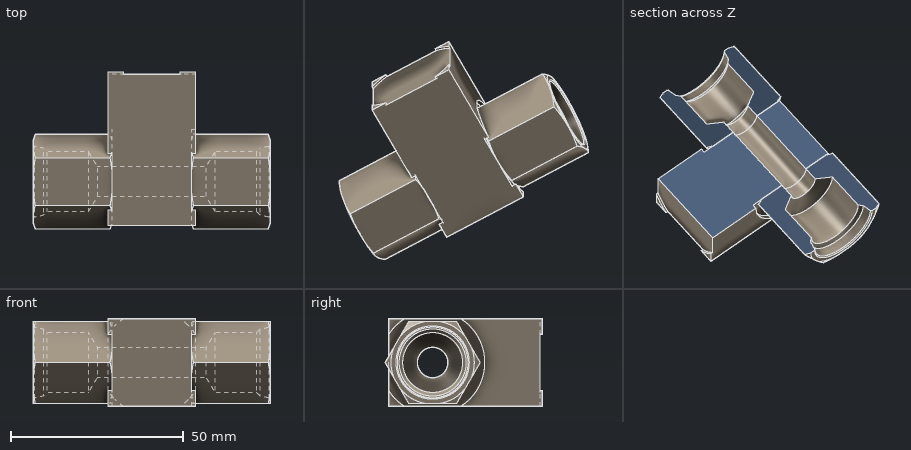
import cadquery as cq
import math

BLOCK_SIDE = 25.4
BLOCK_LENGTH = 44.45
AXIS_TO_FRONT = BLOCK_SIDE / 2
SPOTFACE_DIAMETER = 30.16
SIDE_SPOTFACE_DEPTH = 1.27
BACK_SPOTFACE_DEPTH = 0.635

OVERALL_LENGTH = 68.58
HEX_SIDES = 6
HEX_ACROSS_FLATS = 23.825
HEX_CHAMFER_DIAMETER = 24.1
HEX_CHAMFER_ANGLE = 20.0
FLOW_DIAMETER = 8.74

MOUTH_DIAMETER = 21.2
TAPER_MOUTH_DIAMETER = 20.5
TAPER_END_DIAMETER = 19.4
TAPER_INCLUDED_ANGLE = 24.0
CHAMFER_INCLUDED_ANGLE = 90.0
DRILL_DIAMETER = 17.32
DRILL_DEPTH = 16.0
DRILL_POINT_ANGLE = 118.0

SEAT_X = BLOCK_SIDE / 2 - SIDE_SPOTFACE_DEPTH
END_X = OVERALL_LENGTH / 2
HEX_LENGTH = END_X - SEAT_X
HEX_ACROSS_CORNERS = HEX_ACROSS_FLATS / math.cos(math.pi / HEX_SIDES)


def make_housing():
    """Block with a flow bore, a spotface for each fitting and a shallow spotface on the back."""
    back_y = BLOCK_LENGTH - AXIS_TO_FRONT
    block = cq.Workplane("XY").box(BLOCK_SIDE, BLOCK_LENGTH, BLOCK_SIDE)
    block = block.translate((0, back_y - BLOCK_LENGTH / 2, 0))

    bore = cq.Workplane("YZ").circle(FLOW_DIAMETER / 2).extrude(BLOCK_SIDE / 2, both=True)
    block = block.cut(bore)

    side_spotface = cq.Workplane("YZ", origin=(SEAT_X, 0, 0)).circle(SPOTFACE_DIAMETER / 2)
    side_spotface = side_spotface.extrude(SIDE_SPOTFACE_DEPTH)
    block = block.cut(side_spotface).cut(side_spotface.mirror("YZ"))

    back_spotface = cq.Workplane("XZ", origin=(0, back_y, 0)).circle(SPOTFACE_DIAMETER / 2)
    return block.cut(back_spotface.extrude(BACK_SPOTFACE_DEPTH))


def make_chamfer_envelope():
    """Turned blank whose conical ends cut back the corners of the hexagon."""
    corner_radius = HEX_ACROSS_CORNERS / 2
    face_radius = HEX_CHAMFER_DIAMETER / 2
    setback = (corner_radius - face_radius) * math.tan(math.radians(HEX_CHAMFER_ANGLE))
    profile = (
        cq.Workplane("XY")
        .moveTo(SEAT_X, 0)
        .lineTo(SEAT_X, face_radius)
        .lineTo(SEAT_X + setback, corner_radius)
        .lineTo(END_X - setback, corner_radius)
        .lineTo(END_X, face_radius)
        .lineTo(END_X, 0)
        .close()
    )
    return profile.revolve(360, (0, 0, 0), (1, 0, 0))


def cone_length(large_diameter, small_diameter, included_angle):
    """Axial length of a cone between two diameters."""
    return (large_diameter - small_diameter) / 2 / math.tan(math.radians(included_angle / 2))


def make_socket():
    """Chamfered and tapered mouth, drilled bore with a conical bottom, and the flow bore."""
    taper_start_x = END_X - cone_length(MOUTH_DIAMETER, TAPER_MOUTH_DIAMETER, CHAMFER_INCLUDED_ANGLE)
    taper_length = cone_length(TAPER_MOUTH_DIAMETER, TAPER_END_DIAMETER, TAPER_INCLUDED_ANGLE)
    taper_end_x = taper_start_x - taper_length
    drill_start_x = taper_end_x - cone_length(TAPER_END_DIAMETER, DRILL_DIAMETER, CHAMFER_INCLUDED_ANGLE)
    drill_end_x = END_X - DRILL_DEPTH
    point_x = drill_end_x - cone_length(DRILL_DIAMETER, FLOW_DIAMETER, DRILL_POINT_ANGLE)
    profile = (
        cq.Workplane("XY")
        .moveTo(END_X, 0)
        .lineTo(END_X, MOUTH_DIAMETER / 2)
        .lineTo(taper_start_x, TAPER_MOUTH_DIAMETER / 2)
        .lineTo(taper_end_x, TAPER_END_DIAMETER / 2)
        .lineTo(drill_start_x, DRILL_DIAMETER / 2)
        .lineTo(drill_end_x, DRILL_DIAMETER / 2)
        .lineTo(point_x, FLOW_DIAMETER / 2)
        .lineTo(SEAT_X, FLOW_DIAMETER / 2)
        .lineTo(SEAT_X, 0)
        .close()
    )
    return profile.revolve(360, (0, 0, 0), (1, 0, 0))


def make_fitting(side):
    """Hexagonal end fitting seated in a side spotface; side is +1 for +X and -1 for -X."""
    hexagon = cq.Workplane("YZ", origin=(SEAT_X, 0, 0)).polygon(HEX_SIDES, HEX_ACROSS_CORNERS)
    fitting = hexagon.extrude(HEX_LENGTH).intersect(make_chamfer_envelope()).cut(make_socket())
    return fitting if side > 0 else fitting.mirror("YZ")


housing = make_housing()
fittings = [make_fitting(side) for side in (-1, 1)]

result = cq.Compound.makeCompound([housing.val(), *[fitting.val() for fitting in fittings]])